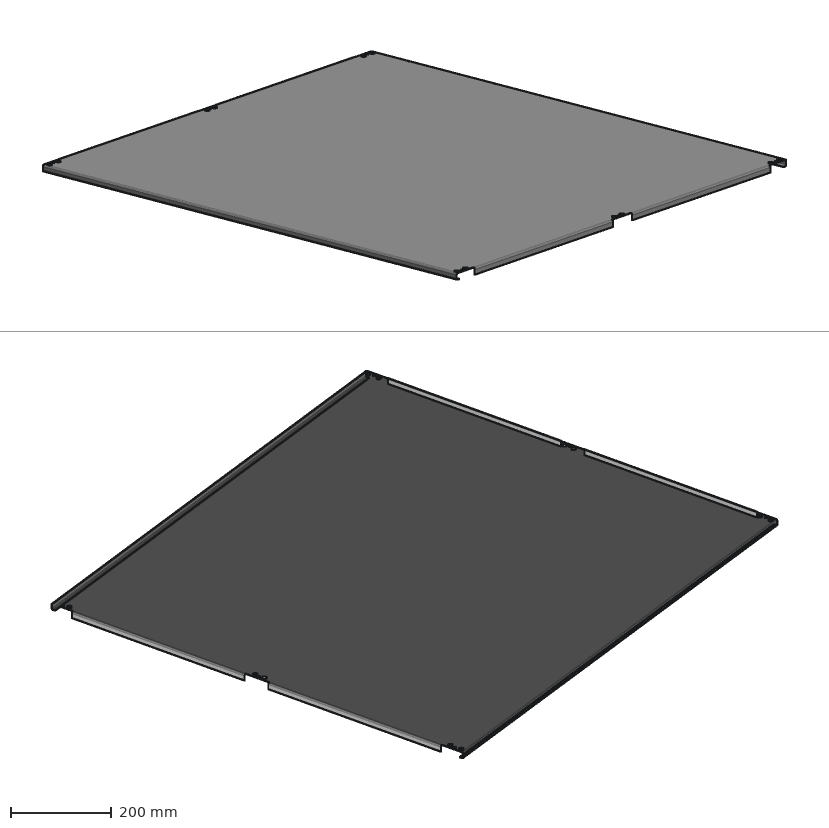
import cadquery as cq

length_x = 1099.0
width_y = 1000.0
height = 15.0

sheet = 1.5
bend_radius = 3.8
inner_radius = bend_radius - sheet
lip_depth = 9.0

side_overhang = bend_radius
side_flange_near = 29.0
side_flange_far = 448.0
side_flange_length = side_flange_far - side_flange_near
side_flange_center = (side_flange_far + side_flange_near) / 2

plate_half_x = length_x / 2 - side_overhang
hole_diameter = 10.0
hole_inset = 9.0
corner_hole_spacing = 26.0
middle_hole_spacing = 22.0
corner_group_y = 476.0
small_hole_diameter = 5.0
small_hole_inset = 5.0


def plate():
    """Flat sheet reaching to the side edges, short of the bends along the other two edges."""
    return (
        cq.Workplane("XY")
        .workplane(offset=height - sheet)
        .rect(2 * plate_half_x, width_y - 2 * lip_depth)
        .extrude(sheet)
    )


def rounded_bar(half_width, bottom, top, radius, run, rounded_edges):
    """Bar along Y, centred on the Z axis, with the chosen edges of its +X face rounded."""
    return (
        cq.Workplane("XY")
        .workplane(offset=bottom)
        .box(2 * half_width, run, top - bottom, centered=(True, True, False))
        .edges("|Y")
        .edges(rounded_edges)
        .fillet(radius)
    )


def bent_edge(reach, run, has_lip):
    """Edge bent down along Y with its outer wall at x = reach, optionally with a lip turned back in."""
    rounded_edges = ">X" if has_lip else ">X and >Z"
    hollow_bottom = sheet if has_lip else -sheet
    outside = rounded_bar(lip_depth, 0, height, bend_radius, run, rounded_edges)
    hollow = rounded_bar(
        lip_depth - sheet, hollow_bottom, height - sheet, inner_radius, run, rounded_edges
    )
    outer_half = cq.Workplane("XY").box(lip_depth, run, height, centered=(False, True, False))
    return outside.cut(hollow).intersect(outer_half).translate((reach - lip_depth, 0, 0))


def turned(body, angle):
    return body.rotate((0, 0, 0), (0, 0, 1), angle)


def hole_group(side, y, spacing):
    """Cutting body for a pair of holes and the smaller hole between them."""
    floor = cq.Workplane("XY").workplane(offset=height - sheet)
    hole_x = side * (plate_half_x - hole_inset)
    holes = (
        floor.pushPoints([(hole_x, y - spacing / 2), (hole_x, y + spacing / 2)])
        .circle(hole_diameter / 2)
        .extrude(sheet)
    )
    small_hole = (
        floor.center(side * (plate_half_x - small_hole_inset), y)
        .circle(small_hole_diameter / 2)
        .extrude(sheet)
    )
    return holes.union(small_hole)


result = plate()
for angle in (0, 180):
    end_flange = bent_edge(width_y / 2, 2 * plate_half_x, has_lip=True)
    result = result.union(turned(end_flange, angle + 90))
    for y in (-side_flange_center, side_flange_center):
        side_flange = bent_edge(length_x / 2, side_flange_length, has_lip=False)
        result = result.union(turned(side_flange.translate((0, y, 0)), angle))

for side in (-1, 1):
    result = result.cut(hole_group(side, 0, middle_hole_spacing))
    for y in (-corner_group_y, corner_group_y):
        result = result.cut(hole_group(side, y, corner_hole_spacing))

result = result.translate((0, 0, -height / 2))